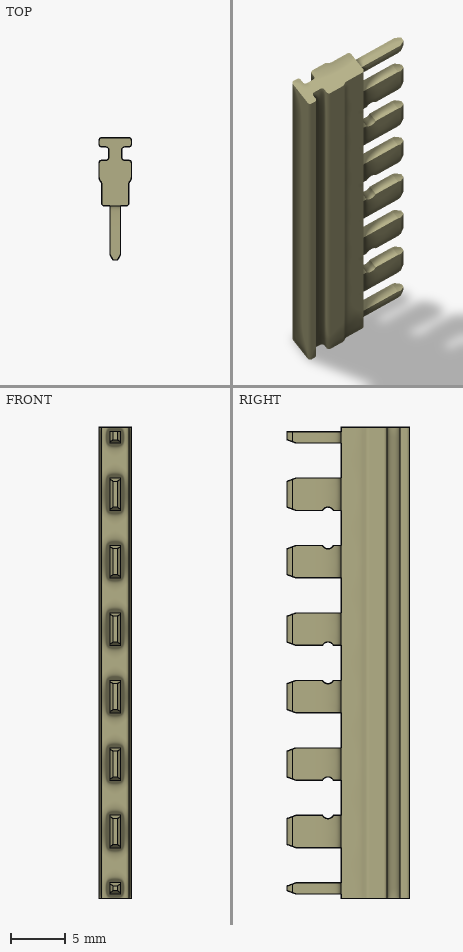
import cadquery as cq
import math

length = 43.4
width = 3.0
total_depth = 11.3

flange_depth = 0.85
groove_end_depth = 2.1
neck_width = 1.2
nose_width = 2.5
rail_depth = 6.3
corner_radius = 0.25

step_start_depth = 3.65
step_end_depth = 4.3
step_convex_share = 0.55

position_tolerance = 0.05

pin_thickness = 1.0
wide_pin_height = 3.0
narrow_pin_height = 1.05
pin_pitch = 6.2
wide_pin_count = 6
end_pin_offset = 20.75
pin_embed = 0.45

tip_inset = 0.3
side_taper_length = 0.5
edge_taper_length = 0.82

notch_depth = 0.3
notch_width = 1.0
notch_center_depth = 7.5

back_y = total_depth / 2
rail_front_y = back_y - rail_depth
pin_base_y = rail_front_y + pin_embed
tip_y = -total_depth / 2


def is_sharp_corner(edge):
    """True for rail edges outside the smooth S-shaped step."""
    depth = back_y - edge.Center().y
    return not step_start_depth - position_tolerance < depth < step_end_depth + position_tolerance


def make_rail():
    """Extruded T-slot section with rounded corners."""
    half = width / 2
    half_neck = neck_width / 2
    half_nose = nose_width / 2

    step_x = half - half_nose
    step_y = step_end_depth - step_start_depth
    sweep = 2 * math.atan2(step_x, step_y)
    radius_sum = step_y / math.sin(sweep)
    convex_radius = radius_sum * step_convex_share
    concave_radius = radius_sum - convex_radius

    def arc_point(radius, angle):
        """Offsets along X and Y after turning by angle from a start parallel to Y."""
        return radius * (1 - math.cos(angle)), radius * math.sin(angle)

    convex_mid = arc_point(convex_radius, sweep / 2)
    convex_end = arc_point(convex_radius, sweep)
    concave_mid = arc_point(concave_radius, sweep / 2)

    half_section = (
        cq.Workplane("XY", origin=(0, back_y, -length / 2))
        .lineTo(half, 0)
        .lineTo(half, -flange_depth)
        .lineTo(half_neck, -flange_depth)
        .lineTo(half_neck, -groove_end_depth)
        .lineTo(half, -groove_end_depth)
        .lineTo(half, -step_start_depth)
        .threePointArc(
            (half - convex_mid[0], -step_start_depth - convex_mid[1]),
            (half - convex_end[0], -step_start_depth - convex_end[1]),
        )
        .threePointArc(
            (half_nose + concave_mid[0], -step_end_depth + concave_mid[1]),
            (half_nose, -step_end_depth),
        )
        .lineTo(half_nose, -rail_depth)
        .lineTo(0, -rail_depth)
    )
    rail = half_section.mirrorY().extrude(length)
    return rail.edges("|Z").filter(is_sharp_corner).fillet(corner_radius)


def make_pin(height, flat_top=False):
    """Flat pin along -Y, centred on Z = 0; a flat top stays level out to the tip."""
    half_thickness = pin_thickness / 2
    half_height = height / 2
    side_taper_y = tip_y + side_taper_length
    edge_taper_y = tip_y + edge_taper_length
    top_inset = 0 if flat_top else tip_inset

    plan = (
        cq.Workplane("XY", origin=(0, 0, -half_height))
        .moveTo(-half_thickness, pin_base_y)
        .lineTo(half_thickness, pin_base_y)
        .lineTo(half_thickness, side_taper_y)
        .lineTo(half_thickness - tip_inset, tip_y)
        .lineTo(tip_inset - half_thickness, tip_y)
        .lineTo(-half_thickness, side_taper_y)
        .close()
        .extrude(height)
    )
    profile = (
        cq.Workplane("YZ", origin=(-half_thickness, 0, 0))
        .moveTo(pin_base_y, -half_height)
        .lineTo(pin_base_y, half_height)
        .lineTo(edge_taper_y, half_height)
        .lineTo(tip_y, half_height - top_inset)
        .lineTo(tip_y, tip_inset - half_height)
        .lineTo(edge_taper_y, -half_height)
        .close()
        .extrude(pin_thickness)
    )
    return plan.intersect(profile)


def make_notched_pin():
    """Wide pin with a shallow round notch across its lower edge."""
    notch_y = back_y - notch_center_depth
    edge_z = -wide_pin_height / 2
    notch = (
        cq.Workplane("YZ", origin=(-pin_thickness / 2, 0, 0))
        .moveTo(notch_y - notch_width / 2, edge_z)
        .threePointArc((notch_y, edge_z + notch_depth), (notch_y + notch_width / 2, edge_z))
        .close()
        .extrude(pin_thickness)
    )
    return make_pin(wide_pin_height).cut(notch)


result = make_rail()

top_wide_pin_z = (wide_pin_count - 1) / 2 * pin_pitch
for index in range(wide_pin_count):
    pin = make_notched_pin()
    if index % 2 == 1:
        pin = pin.mirror("XY")
    result = result.union(pin.translate((0, 0, top_wide_pin_z - index * pin_pitch)))

top_pin = make_pin(narrow_pin_height, flat_top=True)
bottom_pin = make_pin(narrow_pin_height)
result = result.union(top_pin.translate((0, 0, end_pin_offset)))
result = result.union(bottom_pin.translate((0, 0, -end_pin_offset)))